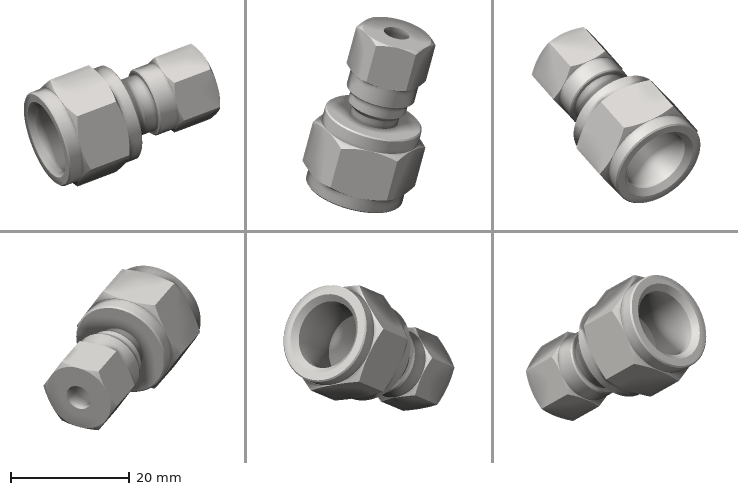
import cadquery as cq
import math

total_length = 30.1
half_length = total_length / 2

large_across_flats = 17.0
large_hex_start = 2.55
large_hex_end = 11.45
sleeve_radius = 8.43
sleeve_end = 14.02
sleeve_chamfer = 0.25

neck_radius = 4.18
neck_end = 15.5
shoulder_radius = 5.03
shoulder_start = neck_end + shoulder_radius - neck_radius
collar_start = 18.65

small_across_flats = 12.0
small_hex_start = 22.15
collar_radius = 5.93
collar_chamfer = 0.2

mouth_radius = 6.8
bore_radius = 5.8
mouth_depth = mouth_radius - bore_radius
bore_depth = 10.23
hole_radius = 2.25
floor_half_angle = 59.0

hex_chamfer_angle = 30.0


def revolve_profile(points):
    """Revolve (radius, distance from the front face) points about the Y axis."""
    profile = cq.Workplane("XY").polyline(points).close()
    return profile.revolve(360, (0, 0, 0), (0, 1, 0))


def cylinder(radius, start, end):
    return revolve_profile([(0, start), (radius, start), (radius, end), (0, end)])


def chamfered_hexagon(across_flats, start, end):
    """Hexagonal prism with flats facing +Z and -Z and conically chamfered corners."""
    flat_radius = across_flats / 2
    corner_radius = flat_radius / math.cos(math.radians(30))
    chamfer = (corner_radius - flat_radius) * math.tan(math.radians(hex_chamfer_angle))
    prism = (
        cq.Workplane("XZ", origin=(0, start, 0))
        .polygon(6, 2 * corner_radius)
        .extrude(start - end)
    )
    envelope = revolve_profile([
        (0, start),
        (flat_radius, start),
        (corner_radius, start + chamfer),
        (corner_radius, end - chamfer),
        (flat_radius, end),
        (0, end),
    ])
    return prism.intersect(envelope)


def make_large_nut():
    sleeve = cylinder(sleeve_radius, 0, sleeve_end).faces("<Y or >Y").chamfer(sleeve_chamfer)
    return sleeve.union(chamfered_hexagon(large_across_flats, large_hex_start, large_hex_end))


def make_body():
    return revolve_profile([
        (0, large_hex_end),
        (neck_radius, large_hex_end),
        (neck_radius, neck_end),
        (shoulder_radius, shoulder_start),
        (shoulder_radius, small_hex_start),
        (0, small_hex_start),
    ])


def make_small_nut():
    collar = cylinder(collar_radius, collar_start, small_hex_start + collar_chamfer)
    collar = collar.faces("<Y").chamfer(collar_chamfer)
    return collar.union(chamfered_hexagon(small_across_flats, small_hex_start, total_length))


def make_bore():
    floor_depth = (bore_radius - hole_radius) / math.tan(math.radians(floor_half_angle))
    return revolve_profile([
        (0, 0),
        (mouth_radius, 0),
        (bore_radius, mouth_depth),
        (bore_radius, bore_depth),
        (hole_radius, bore_depth + floor_depth),
        (hole_radius, total_length),
        (0, total_length),
    ])


fitting = make_large_nut().union(make_body()).union(make_small_nut()).cut(make_bore())
result = fitting.translate((0, -half_length, 0))